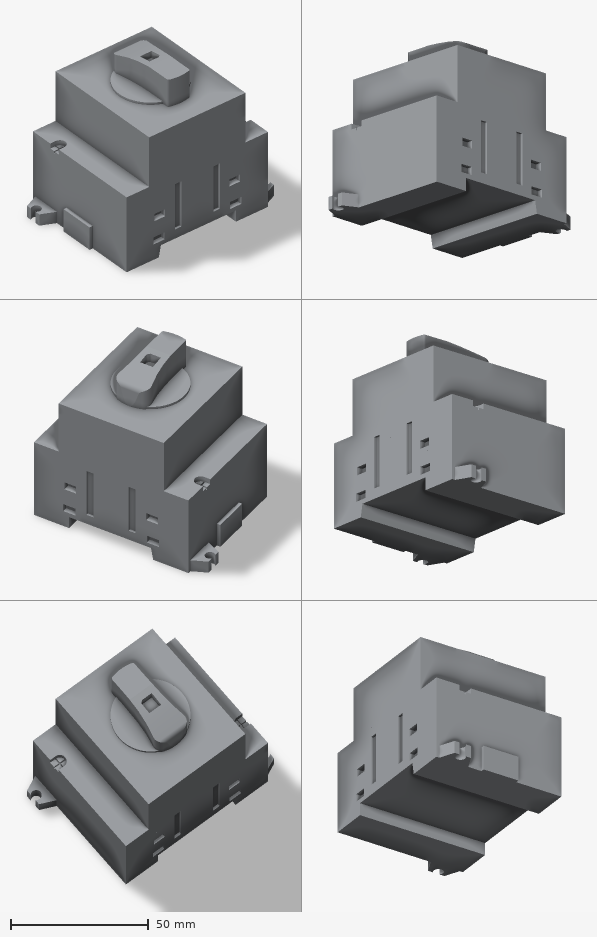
import cadquery as cq
import math

WIDTH = 54.0
OVERALL_DEPTH = 78.0
DEPTH = 66.0
BASE_TOP = 15.05
MIDDLE_TOP = 26.05
UPPER_TOP = 33.1
BLOCK_TOP = 55.0
BLOCK_DEPTH = 44.9
LEFT_FACE = -WIDTH / 2
FRONT_FACE = -DEPTH / 2

RAIL_HEIGHT = 5.0
RAIL_BACK = 18.0
RAIL_FRONT_TOP = -17.0
RAIL_FRONT_BOTTOM = -17.95

GROOVE_SIZE = (3.05, 9.05, 29.0)
GROOVE_OFFSET = 9.0
GROOVE_DEPTH = 1.0
UPPER_WINDOW_SIZE = (5.0, 16.9, 20.05)
UPPER_WINDOW_OFFSET = 17.5
UPPER_WINDOW_DEPTH = 2.5
LOWER_WINDOW_SIZE = (5.3, 6.8, 9.9)
LOWER_WINDOW_OFFSET = 17.9
LOWER_WINDOW_DEPTH = 2.0

SCREW_X = 14.5
SCREW_DIAMETER = 5.0
SCREW_Y = DEPTH / 2 - SCREW_DIAMETER / 2
SCREW_RECESS_DEPTH = 2.2
CROSS_SLOT_WIDTH = 0.55
CROSS_SLOT_DEPTH = 0.9

FOOT_X = 19.4
FOOT_REACH = (OVERALL_DEPTH - DEPTH) / 2
FOOT_ROOT_WIDTH = 12.5
FOOT_TIP_WIDTH = 7.0
FOOT_HEIGHT = RAIL_HEIGHT
FOOT_HOLE_DIAMETER = 4.0
FOOT_HOLE_INSET = 1.5
CLIP_WIDTH = 15.0
CLIP_THICKNESS = 1.5
CLIP_HEIGHT = 9.9

DISC_DIAMETER = 29.0
DISC_TOP = 56.0
HANDLE_TOP = 67.0
NOSE_RADIUS = 14.8
NOSE_CORNER_RADIUS = 3.0
NOSE_CORNER_ANGLE = 159.3
FLANK_ANGLE = 14.4
TAIL_RADIUS = 17.15
TAIL_CORNER_RADIUS = 0.8
TAIL_HALF_WIDTH = 5.15
FLANK_END_X = 10.15
NOSE_LEAN = 0.6
NOSE_TOP = 63.2
NOSE_TOP_RADIUS = 2.0
CREST_START_X = 5.5
CREST_MID = (-4.7, 65.7)
SOCKET_SIZE = 5.45
SOCKET_CHAMFER = 0.9
SOCKET_DEPTH = 4.0


def centred_block(size_x, size_y, bottom, top):
    """Upright block centred on the Z axis."""
    return cq.Workplane("XY", origin=(0, 0, bottom)).rect(size_x, size_y).extrude(top - bottom)


def half_turn(shape):
    """Copy turned by 180 degrees about the Z axis."""
    return shape.rotate((0, 0, 0), (0, 0, 1), 180)


def side_recesses(size, offset, depth):
    """Rectangular cutters at +/- offset along Y, in both the left and the right face."""
    width, bottom, top = size
    return (
        cq.Workplane("XY", origin=(0, 0, bottom))
        .pushPoints([(x, y) for x in (LEFT_FACE, -LEFT_FACE) for y in (-offset, offset)])
        .rect(2 * depth, width)
        .extrude(top - bottom)
    )


def screw_recess():
    """Cutter for the rear screw: a round-ended pocket open to the rear, with a cross in its floor."""
    floor = UPPER_TOP - SCREW_RECESS_DEPTH
    seat = cq.Workplane("XY", origin=(SCREW_X, SCREW_Y, floor))
    pocket = seat.circle(SCREW_DIAMETER / 2).extrude(SCREW_RECESS_DEPTH)
    mouth = seat.center(0, SCREW_DIAMETER / 4).rect(SCREW_DIAMETER, SCREW_DIAMETER / 2)
    pocket = pocket.union(mouth.extrude(SCREW_RECESS_DEPTH))
    cross = seat.rect(SCREW_DIAMETER, CROSS_SLOT_WIDTH).extrude(-CROSS_SLOT_DEPTH)
    cross = cross.union(seat.rect(CROSS_SLOT_WIDTH, SCREW_DIAMETER).extrude(-CROSS_SLOT_DEPTH))
    return pocket.union(cross)


def make_base(grooves):
    channel = (
        cq.Workplane("YZ", origin=(LEFT_FACE, 0, 0))
        .polyline([
            (RAIL_BACK, 0),
            (RAIL_BACK, RAIL_HEIGHT),
            (RAIL_FRONT_TOP, RAIL_HEIGHT),
            (RAIL_FRONT_BOTTOM, 0),
        ])
        .close()
        .extrude(WIDTH)
    )
    windows = side_recesses(LOWER_WINDOW_SIZE, LOWER_WINDOW_OFFSET, LOWER_WINDOW_DEPTH)
    return centred_block(WIDTH, DEPTH, 0, BASE_TOP).cut(channel).cut(windows).cut(grooves)


def make_middle_layer(grooves):
    windows = side_recesses(UPPER_WINDOW_SIZE, UPPER_WINDOW_OFFSET, UPPER_WINDOW_DEPTH)
    return centred_block(WIDTH, DEPTH, BASE_TOP, MIDDLE_TOP).cut(windows).cut(grooves)


def make_upper_layer(grooves):
    layer = centred_block(WIDTH, DEPTH, MIDDLE_TOP, UPPER_TOP).cut(grooves)
    recess = screw_recess()
    return layer.cut(recess).cut(half_turn(recess))


def make_foot():
    """Front foot: a tapered lug with a round hole that opens through its tip."""
    tip = FRONT_FACE - FOOT_REACH
    lug = (
        cq.Workplane("XY")
        .polyline([
            (-FOOT_X - FOOT_ROOT_WIDTH / 2, FRONT_FACE),
            (-FOOT_X - FOOT_TIP_WIDTH / 2, tip),
            (-FOOT_X + FOOT_TIP_WIDTH / 2, tip),
            (-FOOT_X + FOOT_ROOT_WIDTH / 2, FRONT_FACE),
        ])
        .close()
        .extrude(FOOT_HEIGHT)
    )
    hole = cq.Workplane("XY").center(-FOOT_X, tip + FOOT_HOLE_INSET).circle(FOOT_HOLE_DIAMETER / 2)
    return lug.cut(hole.extrude(FOOT_HEIGHT))


def make_clip():
    centre_y = FRONT_FACE - CLIP_THICKNESS / 2
    return cq.Workplane("XY").center(0, centre_y).rect(CLIP_WIDTH, CLIP_THICKNESS).extrude(CLIP_HEIGHT)


def make_disc():
    disc = cq.Workplane("XY", origin=(0, 0, BLOCK_TOP)).circle(DISC_DIAMETER / 2)
    return disc.extrude(DISC_TOP - BLOCK_TOP)


def polar(radius, degrees, centre=(0, 0)):
    angle = math.radians(degrees)
    return (centre[0] + radius * math.cos(angle), centre[1] + radius * math.sin(angle))


def mirrored(point):
    return (point[0], -point[1])


def handle_plan():
    """Handle seen along Z: wide rounded nose at -X, hollow flanks, narrow tail at +X."""
    nose_centre = polar(NOSE_RADIUS - NOSE_CORNER_RADIUS, NOSE_CORNER_ANGLE)
    flank_normal = 90 - FLANK_ANGLE
    nose_end = polar(NOSE_RADIUS, NOSE_CORNER_ANGLE)
    nose_mid = polar(NOSE_CORNER_RADIUS, (NOSE_CORNER_ANGLE + flank_normal) / 2, nose_centre)
    flank_start = polar(NOSE_CORNER_RADIUS, flank_normal, nose_centre)
    flank_end = (FLANK_END_X, TAIL_HALF_WIDTH)
    slope = math.tan(math.radians(FLANK_ANGLE))

    tail_centre_y = TAIL_HALF_WIDTH - TAIL_CORNER_RADIUS
    tail_centre_angle = math.degrees(math.asin(tail_centre_y / (TAIL_RADIUS - TAIL_CORNER_RADIUS)))
    tail_centre = polar(TAIL_RADIUS - TAIL_CORNER_RADIUS, tail_centre_angle)
    tail_start = (tail_centre[0], TAIL_HALF_WIDTH)
    tail_mid = polar(TAIL_CORNER_RADIUS, (90 + tail_centre_angle) / 2, tail_centre)
    tail_end = polar(TAIL_RADIUS, tail_centre_angle)

    return (
        cq.Workplane("XY", origin=(0, 0, BLOCK_TOP))
        .moveTo(*nose_end)
        .threePointArc(nose_mid, flank_start)
        .spline([flank_end], tangents=[(1, -slope), (1, 0)], includeCurrent=True)
        .lineTo(*tail_start)
        .threePointArc(tail_mid, tail_end)
        .threePointArc((TAIL_RADIUS, 0), mirrored(tail_end))
        .threePointArc(mirrored(tail_mid), mirrored(tail_start))
        .lineTo(*mirrored(flank_end))
        .spline([mirrored(flank_start)], tangents=[(-1, 0), (-1, -slope)], includeCurrent=True)
        .threePointArc(mirrored(nose_mid), mirrored(nose_end))
        .threePointArc((-NOSE_RADIUS, 0), nose_end)
        .close()
    )


def handle_profile():
    """Handle seen along Y: leaning nose face, rounded into a crest that rises to a flat top."""
    nose_top = (-NOSE_RADIUS + NOSE_LEAN, NOSE_TOP)
    prism = (
        cq.Workplane("XZ")
        .moveTo(-NOSE_RADIUS, BLOCK_TOP)
        .lineTo(*nose_top)
        .threePointArc(CREST_MID, (CREST_START_X, HANDLE_TOP))
        .lineTo(TAIL_RADIUS, HANDLE_TOP)
        .lineTo(TAIL_RADIUS, BLOCK_TOP)
        .close()
        .extrude(NOSE_RADIUS, both=True)
    )
    top_edge = cq.selectors.NearestToPointSelector((nose_top[0], 0, nose_top[1]))
    return prism.edges(top_edge).fillet(NOSE_TOP_RADIUS)


def make_handle(disc):
    """Handle that straddles the disc and rests on the block beyond the disc's rim."""
    handle = handle_plan().extrude(HANDLE_TOP - BLOCK_TOP).intersect(handle_profile())
    socket = (
        centred_block(SOCKET_SIZE, SOCKET_SIZE, HANDLE_TOP - SOCKET_DEPTH, HANDLE_TOP)
        .edges("|Z and >X and >Y")
        .chamfer(SOCKET_CHAMFER)
    )
    return handle.cut(socket).cut(disc)


grooves = side_recesses(GROOVE_SIZE, GROOVE_OFFSET, GROOVE_DEPTH)
base = make_base(grooves)
middle_layer = make_middle_layer(grooves)
upper_layer = make_upper_layer(grooves)
block = centred_block(WIDTH, BLOCK_DEPTH, UPPER_TOP, BLOCK_TOP)
front_foot = make_foot()
feet = [front_foot, half_turn(front_foot)]
clip = make_clip()
disc = make_disc()
handle = make_handle(disc)

result = cq.Compound.makeCompound([
    base.val(),
    middle_layer.val(),
    upper_layer.val(),
    block.val(),
    *[foot.val() for foot in feet],
    clip.val(),
    disc.val(),
    handle.val(),
])